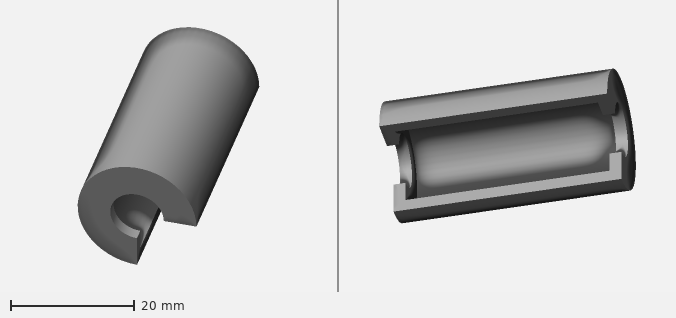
import cadquery as cq

length = 38.0
outer_diameter = 20.0
bore_diameter = 9.0
wall = 2.0

outer_radius = outer_diameter / 2
cavity_radius = outer_radius - wall
cavity_length = length - 2 * wall


def cylinder_along_y(radius, cylinder_length):
    """Solid cylinder on the Y axis, centred on the origin."""
    return (
        cq.Workplane("XZ", origin=(0, cylinder_length / 2, 0))
        .circle(radius)
        .extrude(cylinder_length)
    )


body = cylinder_along_y(outer_radius, length)
bore = cylinder_along_y(bore_diameter / 2, length)
cavity = cylinder_along_y(cavity_radius, cavity_length)
sleeve = body.cut(bore).cut(cavity)

open_quarter = (
    cq.Workplane("XY")
    .box(outer_radius, length, outer_radius, centered=(False, True, False))
    .translate((0, 0, -outer_radius))
)

result = sleeve.cut(open_quarter)